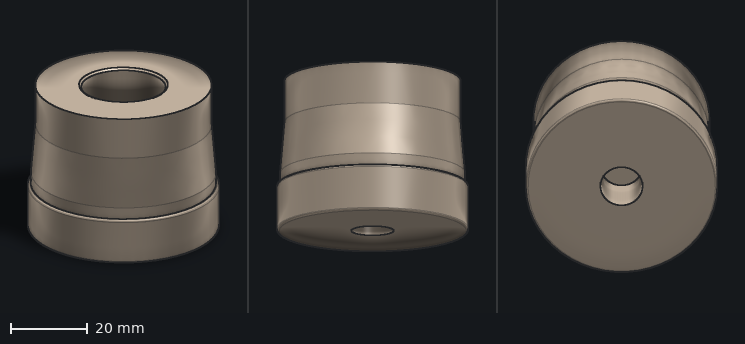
import cadquery as cq

base_diameter = 50.0
base_height = 12.2
base_edge_radius = 0.6
through_hole_diameter = 11.0

total_height = 40.0
foot_radius = 24.15
foot_top = 15.4
neck_radius = 23.0
neck_bottom = 29.0
bore_radius = 11.0
bore_chamfer = 0.6


def make_base():
    """Flat disc with rounded rims and a central through hole."""
    disc = cq.Workplane("XY").circle(base_diameter / 2).extrude(base_height)
    disc = disc.edges().fillet(base_edge_radius)
    hole = cq.Workplane("XY").circle(through_hole_diameter / 2).extrude(base_height)
    return disc.cut(hole)


def make_sleeve():
    """Revolved sleeve: straight foot, conical waist, straight neck, chamfered bore."""
    return (
        cq.Workplane("XZ")
        .moveTo(bore_radius, base_height)
        .lineTo(foot_radius, base_height)
        .lineTo(foot_radius, foot_top)
        .lineTo(neck_radius, neck_bottom)
        .lineTo(neck_radius, total_height)
        .lineTo(bore_radius + bore_chamfer, total_height)
        .lineTo(bore_radius, total_height - bore_chamfer)
        .close()
        .revolve(360, (0, 0, 0), (0, 1, 0))
    )


base = make_base()
sleeve = make_sleeve()

result = cq.Compound.makeCompound([base.val(), sleeve.val()])